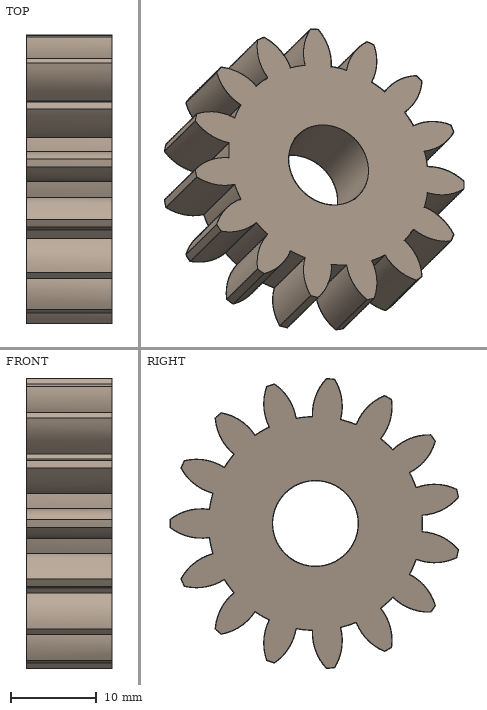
import cadquery as cq
import math

overall_height = 33.9
face_width = 10.0
bore_diameter = 10.0
root_diameter = 25.02
tooth_count = 15
tooth_root_width = 3.32
tooth_tip_angle = 3.2
flank_radius = 6.0

root_radius = root_diameter / 2
tooth_pitch_angle = 360 / tooth_count

tip_half_angle = math.radians(tooth_tip_angle / 2)
top_corner_lean = math.radians(tooth_pitch_angle / 4) - tip_half_angle
tip_radius = overall_height / (2 * math.cos(top_corner_lean))


def cylinder(radius):
    """Solid cylinder along X over the full face width, centred on the origin."""
    return cq.Workplane("YZ").workplane(offset=-face_width / 2).circle(radius).extrude(face_width)


def make_tooth():
    """Tooth pointing along -Y: two convex arc flanks and a tip on the outer circle."""
    root_z = tooth_root_width / 2
    root_y = -math.sqrt(root_radius**2 - root_z**2)
    tip_y = -tip_radius * math.cos(tip_half_angle)
    tip_z = tip_radius * math.sin(tip_half_angle)

    foot_y = -root_radius / 2
    return (
        cq.Workplane("YZ")
        .workplane(offset=-face_width / 2)
        .moveTo(foot_y, root_z)
        .lineTo(root_y, root_z)
        .radiusArc((tip_y, tip_z), -flank_radius)
        .threePointArc((-tip_radius, 0), (tip_y, -tip_z))
        .radiusArc((root_y, -root_z), -flank_radius)
        .lineTo(foot_y, -root_z)
        .close()
        .extrude(face_width)
    )


gear = cylinder(root_radius)
tooth = make_tooth()
for i in range(tooth_count):
    gear = gear.union(tooth.rotate((0, 0, 0), (1, 0, 0), i * tooth_pitch_angle))

result = gear.cut(cylinder(bore_diameter / 2))